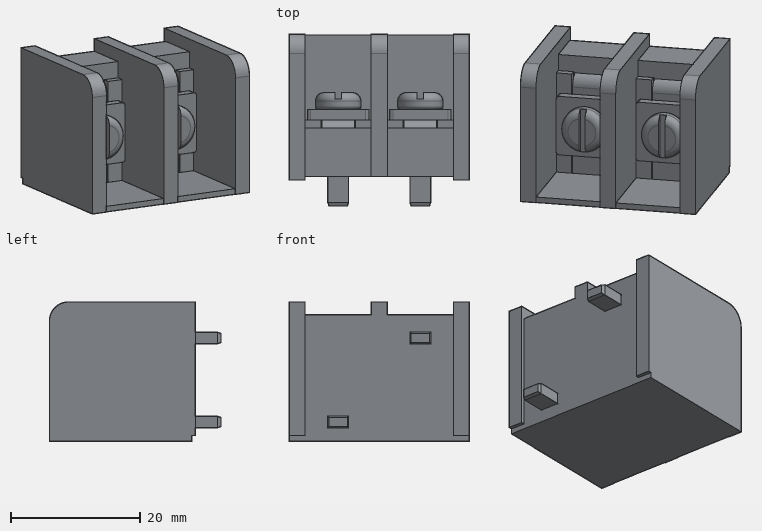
import cadquery as cq


pitch = 12.7
wall_thickness = 2.5
height = 21.6
wall_depth = 22.6
wall_corner_radius = 3.0
front_step = 0.55
floor_thickness = 0.9
floor_setback = 0.1
block_height = 19.6
block_back = 8.1
ledge_thickness = 1.25
ledge_height = 17.0

bay_width = pitch - wall_thickness
total_width = 2 * pitch + wall_thickness
bay_centers = (-pitch / 2, pitch / 2)
ledge_face = block_back + ledge_thickness

tab_width = 5.0
slot_clearance = 0.15
bend_radius = 2.1
tab_end = 5.0
slot_width = tab_width + 2 * slot_clearance

pin_width = 3.25
pin_thickness = 1.8
pin_levels = (3.0, 16.0)
pin_tip = -4.0
pin_root = 3.0
pin_taper_length = 0.55
pin_taper_inset = 0.2

screw_level = 9.0
clamp_size = 9.5
clamp_thickness = 1.6
clamp_corner_radius = 0.5
clamp_face = ledge_face + clamp_thickness
head_diameter = 7.0
head_height = 2.6
head_dome_radius = 1.3
head_base_radius = 0.4
drive_slot_width = 1.0
drive_slot_depth = 1.0
shank_diameter = 3.5
shank_end = 4.0


def box(x_center, width, y_min, y_max, z_min, z_max):
    """Box centred on x_center that spans the given y and z ranges."""
    corner = (x_center - width / 2, y_min, z_min)
    return cq.Workplane("XY").box(width, y_max - y_min, z_max - z_min, centered=False).translate(corner)


def plane_facing_back(x, y, z):
    """Workplane at a point, with its normal along +Y."""
    return cq.Workplane(cq.Plane(origin=(x, y, z), xDir=(1, 0, 0), normal=(0, 1, 0)))


def make_wall(x_center, front):
    """Upright wall with a rounded upper back corner."""
    wall = box(x_center, wall_thickness, front, wall_depth, 0, height)
    return wall.edges("|X and >Y and >Z").fillet(wall_corner_radius)


def make_pin(x_center, level):
    """Flat pin with a tapered tip."""
    taper_start = pin_tip + pin_taper_length
    shaft = box(x_center, pin_width, taper_start, pin_root,
                level - pin_thickness / 2, level + pin_thickness / 2)
    tip = (
        plane_facing_back(x_center, pin_tip, level)
        .rect(pin_width - 2 * pin_taper_inset, pin_thickness - 2 * pin_taper_inset)
        .workplane(offset=pin_taper_length)
        .rect(pin_width, pin_thickness)
        .loft(combine=True)
    )
    return shaft.union(tip)


def make_tab_blank(x_center):
    """Upright strip whose top bends forward into the block."""
    outer = box(x_center, tab_width, tab_end, ledge_face, floor_thickness, ledge_height)
    outer = outer.edges("|X and >Y and >Z").fillet(bend_radius)
    inner = box(x_center, tab_width, tab_end, block_back,
                floor_thickness, ledge_height - ledge_thickness)
    inner = inner.edges("|X and >Y and >Z").fillet(bend_radius - ledge_thickness)
    return outer.cut(inner)


def make_shank(x_center):
    """Screw shank from inside the block to the clamp plate face."""
    return (
        plane_facing_back(x_center, shank_end, screw_level)
        .circle(shank_diameter / 2)
        .extrude(clamp_face - shank_end)
    )


def make_clamp_plate(x_center):
    """Square plate with rounded corners and a screw hole."""
    plate = (
        plane_facing_back(x_center, ledge_face, screw_level)
        .rect(clamp_size, clamp_size)
        .extrude(clamp_thickness)
        .edges("|Y")
        .fillet(clamp_corner_radius)
    )
    return plate.cut(make_shank(x_center))


def make_screw(x_center):
    """Domed screw with an upright drive slot."""
    head = (
        plane_facing_back(x_center, clamp_face, screw_level)
        .circle(head_diameter / 2)
        .extrude(head_height)
        .faces(">Y").edges().fillet(head_dome_radius)
        .faces("<Y").edges().fillet(head_base_radius)
    )
    head_top = clamp_face + head_height
    drive_slot = box(x_center, drive_slot_width, head_top - drive_slot_depth, head_top,
                     screw_level - head_diameter / 2, screw_level + head_diameter / 2)
    return head.cut(drive_slot).union(make_shank(x_center))


def make_housing():
    """Floor, block, ledges and three walls, with recesses for the metal parts."""
    housing = box(0, total_width, front_step, wall_depth - floor_setback, 0, floor_thickness)
    housing = housing.union(box(0, total_width, front_step, block_back, 0, block_height))

    for x_center in (-pitch, pitch):
        lower_notch = box(x_center, wall_thickness, 0, front_step, 0, floor_thickness)
        housing = housing.union(make_wall(x_center, 0).cut(lower_notch))
    housing = housing.union(make_wall(0, front_step))

    for x_center, level in zip(bay_centers, pin_levels):
        ledge = box(x_center, bay_width, block_back, ledge_face, floor_thickness, ledge_height)
        ledge_slot = box(x_center, slot_width, block_back, ledge_face, floor_thickness, ledge_height)
        housing = housing.union(ledge.cut(ledge_slot))
        housing = housing.cut(make_tab_blank(x_center))
        housing = housing.cut(make_pin(x_center, level))
        housing = housing.cut(make_shank(x_center))
    return housing


housing = make_housing()
bodies = housing.solids().vals()
for bay_center, pin_level in zip(bay_centers, pin_levels):
    pin = make_pin(bay_center, pin_level)
    tab = make_tab_blank(bay_center).cut(make_shank(bay_center))
    clamp_plate = make_clamp_plate(bay_center)
    screw = make_screw(bay_center)
    for body in (pin, tab, clamp_plate, screw):
        bodies += body.solids().vals()

result = cq.Compound.makeCompound(bodies)